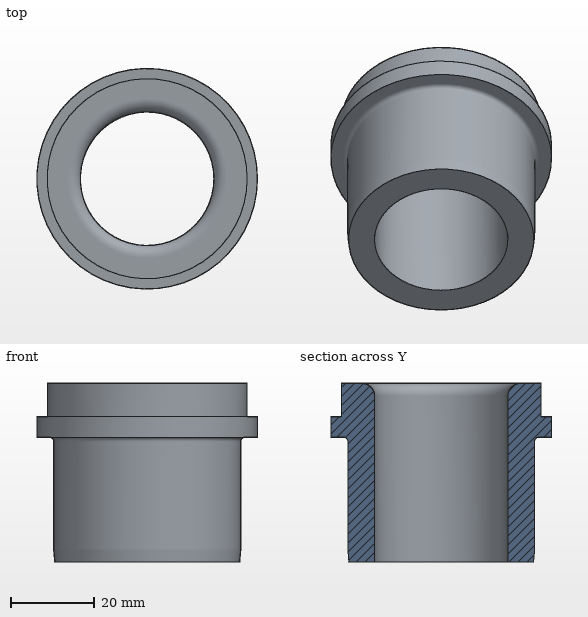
import cadquery as cq

total_height = 43.0
collar_height = 8.0
flange_thickness = 5.0
lead_in_height = 3.0
flange_top = total_height - collar_height
flange_bottom = flange_top - flange_thickness

flange_radius = 53 / 2
collar_radius = 48.0 / 2
body_radius = 45.0 / 2
lead_in_radius = 44.45 / 2
bore_radius = 32.0 / 2

mouth_round = 3.0
root_fillet = 1.0


def make_outer_body():
    """Stepped sleeve with a tapered lead-in at the bottom and a filleted flange root."""
    body_profile = (
        cq.Workplane("XZ")
        .lineTo(lead_in_radius, 0)
        .lineTo(body_radius, lead_in_height)
        .lineTo(body_radius, flange_bottom - root_fillet)
        .radiusArc((body_radius + root_fillet, flange_bottom), root_fillet)
        .lineTo(flange_radius, flange_bottom)
        .lineTo(flange_radius, flange_top)
        .lineTo(collar_radius, flange_top)
        .lineTo(collar_radius, total_height)
        .lineTo(0, total_height)
        .close()
    )
    return body_profile.revolve(360, (0, 0, 0), (0, 1, 0))


def make_bore():
    """Through bore that flares out along a quarter round at its upper mouth."""
    bore_profile = (
        cq.Workplane("XZ")
        .lineTo(bore_radius, 0)
        .lineTo(bore_radius, total_height - mouth_round)
        .radiusArc((bore_radius + mouth_round, total_height), mouth_round)
        .lineTo(0, total_height)
        .close()
    )
    return bore_profile.revolve(360, (0, 0, 0), (0, 1, 0))


result = make_outer_body().cut(make_bore())